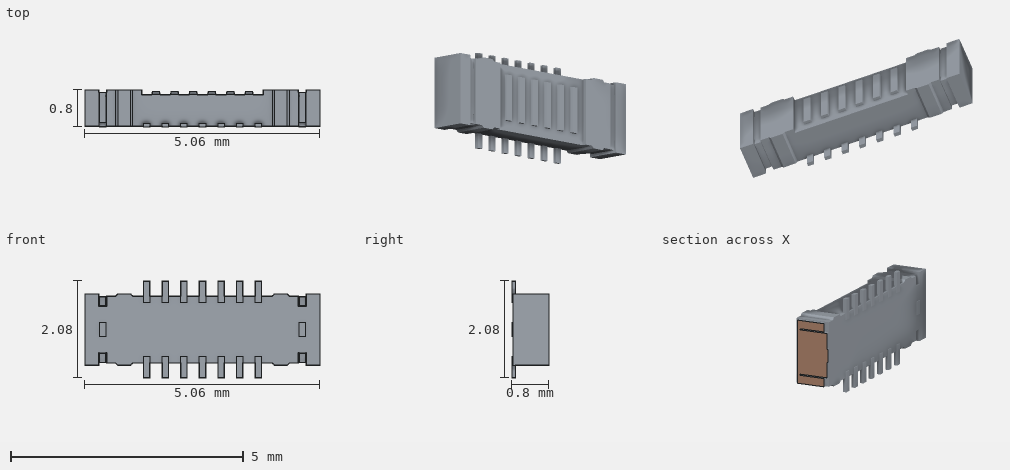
import cadquery as cq

length = 5.06
thickness = 0.80
width_over_pins = 2.08

standoff = 0.02
housing_depth = thickness - standoff
wide_width = 1.54
narrow_width = 1.44
end_block_length = 0.30
center_recess_length = 2.61
center_recess_depth = 0.10

bulge_offset = 0.845
bulge_top_length = 0.27
bulge_base_length = bulge_top_length + wide_width - narrow_width

pin_count = 7
pin_pitch = 0.40
pin_width = 0.14
pin_thickness = 0.08
pin_length = 0.46

rib_base_width = 0.18
rib_top_width = 0.15
rib_height = 0.07
rib_length = 1.00

slot_width = 0.17
slot_floor_z = 0.50
clip_width = 0.14
clip_gap = (slot_width - clip_width) / 2
clip_top_z = 0.71
clip_back_recess = 0.05
clip_back_thickness = 0.08
clip_front_recess = 0.08
clip_pad_length = 0.30

front_y = -housing_depth / 2
back_y = housing_depth / 2
pad_front_y = front_y - standoff
slot_center_x = length / 2 - end_block_length - slot_width / 2
clip_back_y = back_y - clip_back_recess
clip_bar_y = clip_back_y - clip_back_thickness
clip_leg_y = front_y + clip_front_recess


def block(x_center, x_size, y_min, y_max, z_min, z_max):
    """Box centred on x_center and bounded by the given Y and Z limits."""
    box = cq.Workplane("XY").box(x_size, y_max - y_min, z_max - z_min)
    return box.translate((x_center, (y_min + y_max) / 2, (z_min + z_max) / 2))


def centered_block(x_center, x_size, y_min, y_max, z_size):
    """Box that is symmetric about the Z = 0 plane."""
    return block(x_center, x_size, y_min, y_max, -z_size / 2, z_size / 2)


def bulge_pair(x_center):
    """Bulges on both long sides, joined through the housing as one prism."""
    upper_side = [
        (-bulge_base_length / 2, narrow_width / 2),
        (-bulge_top_length / 2, wide_width / 2),
        (bulge_top_length / 2, wide_width / 2),
        (bulge_base_length / 2, narrow_width / 2),
    ]
    lower_side = [(-x, -z) for x, z in upper_side]
    prism = cq.Workplane("XZ").polyline(upper_side + lower_side).close().extrude(housing_depth)
    return prism.translate((x_center, back_y, 0))


def make_housing():
    """Housing with end blocks, side bulges and the recess in the mating face."""
    housing = centered_block(0, length, front_y, back_y, narrow_width)
    for side in (-1, 1):
        end_x = side * (length - end_block_length) / 2
        housing = housing.union(centered_block(end_x, end_block_length, front_y, back_y, wide_width))
        housing = housing.union(bulge_pair(side * (length / 2 - bulge_offset)))
    recess_floor_y = back_y - center_recess_depth
    return housing.cut(centered_block(0, center_recess_length, recess_floor_y, back_y, wide_width))


def add_clip(body, x_center):
    """Cut the clip slots at one end and fit the clip and its solder pad."""
    body = body.cut(centered_block(x_center, slot_width, clip_back_y, back_y, wide_width))
    leg_foot_z = slot_floor_z + clip_gap
    for side in (-1, 1):
        floor_z, outer_z = sorted((side * slot_floor_z, side * wide_width / 2))
        body = body.cut(block(x_center, slot_width, front_y, back_y, floor_z, outer_z))
        foot_z, top_z = sorted((side * leg_foot_z, side * clip_top_z))
        body = body.union(block(x_center, clip_width, clip_leg_y, clip_back_y, foot_z, top_z))
    body = body.union(centered_block(x_center, clip_width, clip_bar_y, clip_back_y, 2 * clip_top_z))
    pad_back_y = pad_front_y + pin_thickness
    return body.union(centered_block(x_center, clip_width, pad_front_y, pad_back_y, clip_pad_length))


def add_pins(body):
    """Two rows of solder pins reaching out past the long sides."""
    pin_back_y = pad_front_y + pin_thickness
    tip_z = width_over_pins / 2
    for index in range(pin_count):
        x_center = (index - (pin_count - 1) / 2) * pin_pitch
        for side in (-1, 1):
            z_min, z_max = sorted((side * tip_z, side * (tip_z - pin_length)))
            body = body.union(block(x_center, pin_width, pad_front_y, pin_back_y, z_min, z_max))
    return body


def add_ribs(body):
    """Tapered ribs on the recess floor, one between each two neighbouring pins."""
    rib_count = pin_count - 1
    floor_y = back_y - center_recess_depth
    top_y = floor_y + rib_height
    for index in range(rib_count):
        x_center = (index - (rib_count - 1) / 2) * pin_pitch
        outline = [
            (x_center - rib_base_width / 2, floor_y),
            (x_center + rib_base_width / 2, floor_y),
            (x_center + rib_top_width / 2, top_y),
            (x_center - rib_top_width / 2, top_y),
        ]
        rib = cq.Workplane("XY").polyline(outline).close().extrude(rib_length / 2, both=True)
        body = body.union(rib)
    return body


connector = make_housing()
for end in (-1, 1):
    connector = add_clip(connector, end * slot_center_x)
connector = add_pins(connector)
connector = add_ribs(connector)

result = connector